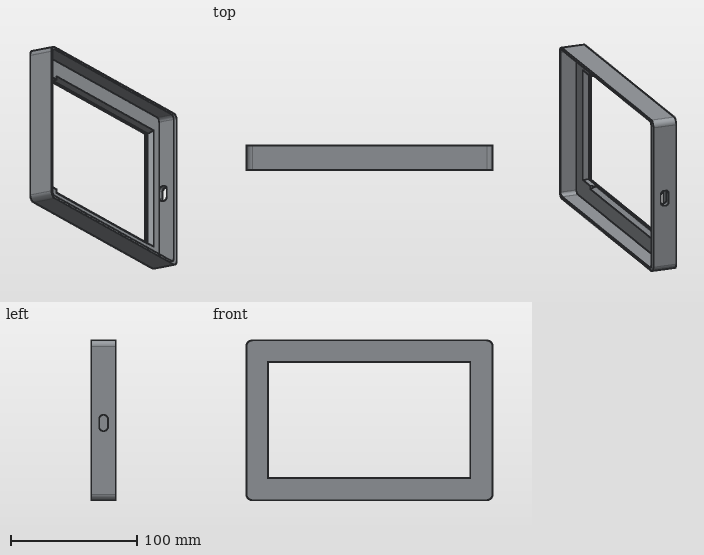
import cadquery as cq

width = 195.1
depth = 19.5
height = 126.8
corner_radius = 4.9

plate_thickness = 6.0
side_wall = 2.0
slotted_wall = 5.0

window_width = 160.0
window_height = 91.7
window_x = -0.4
window_z = 0.2

lip_depth = 1.2
recess_width = 163.9
recess_clearance = 0.2
recess_height = window_height + 2 * recess_clearance

bevel_start = 2.1
bevel_spread = 2.7
unbevelled_length = 18.0

slot_length = 12.9
slot_width = 6.8
slot_z = -2.1

front_y = -depth / 2
back_y = depth / 2
plate_back_y = front_y + plate_thickness


def box_between(x_range, y_range, z_range):
    """Box spanning the given (low, high) range along each axis."""
    sizes = [high - low for low, high in (x_range, y_range, z_range)]
    corner = (x_range[0], y_range[0], z_range[0])
    return cq.Workplane("XY").box(*sizes, centered=False).translate(corner)


def make_body():
    return cq.Workplane("XY").box(width, depth, height).edges("|Y").fillet(corner_radius)


def make_hollow():
    return box_between(
        (-width / 2 + slotted_wall, width / 2 - side_wall),
        (plate_back_y, back_y),
        (-height / 2 + side_wall, height / 2 - side_wall),
    ).edges("|Y").fillet(corner_radius - side_wall)


def make_window():
    return box_between(
        (window_x - window_width / 2, window_x + window_width / 2),
        (front_y, plate_back_y),
        (window_z - window_height / 2, window_z + window_height / 2),
    )


def make_recess():
    return box_between(
        (-recess_width / 2, recess_width / 2),
        (front_y + lip_depth, plate_back_y),
        (window_z - recess_height / 2, window_z + recess_height / 2),
    )


def make_bevel():
    """Tapered opening that grows by the bevel spread on every side toward the back."""
    bevel_width = recess_width - unbevelled_length
    start_plane = cq.Plane(
        origin=(-unbevelled_length / 2, front_y + bevel_start, window_z),
        xDir=(1, 0, 0),
        normal=(0, 1, 0),
    )
    return (
        cq.Workplane(start_plane)
        .rect(bevel_width, recess_height)
        .workplane(offset=plate_thickness - bevel_start)
        .rect(bevel_width + 2 * bevel_spread, recess_height + 2 * bevel_spread)
        .loft(ruled=True)
    )


def make_slot():
    left_face = cq.Workplane("YZ", origin=(-width / 2, 0, slot_z))
    return left_face.slot2D(slot_length, slot_width, 90).extrude(slotted_wall)


result = make_body()
for opening in (make_hollow(), make_window(), make_recess(), make_bevel(), make_slot()):
    result = result.cut(opening)